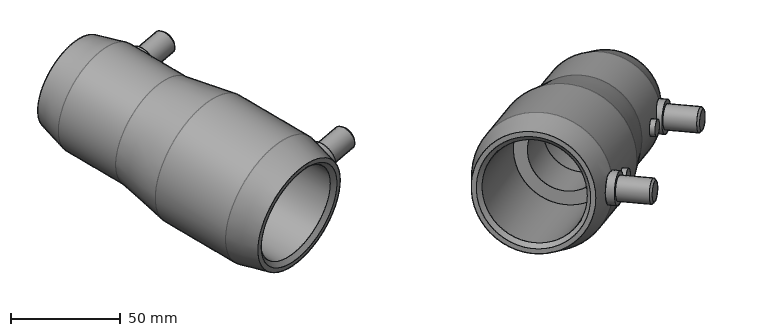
import cadquery as cq

length = 135.0
nose_length = 15.8
small_radius = 28.5
large_radius = 33.5
small_end_radius = 24.3
large_end_radius = 29.4
reducer_start = 49.8
reducer_end = 77.5

small_socket_radius = 19.8
large_socket_radius = 24.8
passage_radius = 18.2
mouth_chamfer = 2.2

pin_radius = 6.1
pin_rise = 19.6
pin_chamfer = 1.1
collar_radius = 8.1
collar_height = 4.3
boss_rise = 2.5
button_radius = 4.0
button_root = 2.0
terminal_inset = 16.2
button_inset = 32.4


def post(x, bottom, top, radius):
    """Round post along +Y at station x."""
    return (
        cq.Workplane("XZ", origin=(x, bottom, 0))
        .circle(radius)
        .extrude(bottom - top)
    )


def terminal(x, wall_radius):
    """Collar with a chamfered pin standing on it."""
    boss_top = wall_radius + boss_rise
    collar_bottom = boss_top - collar_height
    collar = post(x, collar_bottom, boss_top, collar_radius)
    pin = post(x, collar_bottom, wall_radius + pin_rise, pin_radius)
    return collar.union(pin.faces(">Y").edges().chamfer(pin_chamfer))


def button(x, wall_radius):
    """Low round button on the cylinder."""
    return post(x, wall_radius - button_root, wall_radius + boss_rise, button_radius)


def revolved(points):
    """Solid of revolution about X from an (x, radius) outline."""
    return cq.Workplane("XY").polyline(points).close().revolve(360, (0, 0, 0), (1, 0, 0))


outer = revolved([
    (0, 0),
    (0, small_end_radius),
    (nose_length, small_radius),
    (reducer_start, small_radius),
    (reducer_end, large_radius),
    (length - nose_length, large_radius),
    (length, large_end_radius),
    (length, 0),
])

bore = revolved([
    (0, 0),
    (0, small_socket_radius + mouth_chamfer),
    (mouth_chamfer, small_socket_radius),
    (reducer_start, small_socket_radius),
    (reducer_start, passage_radius),
    (reducer_end, passage_radius),
    (reducer_end, large_socket_radius),
    (length - mouth_chamfer, large_socket_radius),
    (length, large_socket_radius + mouth_chamfer),
    (length, 0),
])

body = outer.union(terminal(terminal_inset, small_radius))
body = body.union(button(button_inset, small_radius))
body = body.union(terminal(length - terminal_inset, large_radius))
body = body.union(button(length - button_inset, large_radius))

result = body.cut(bore)